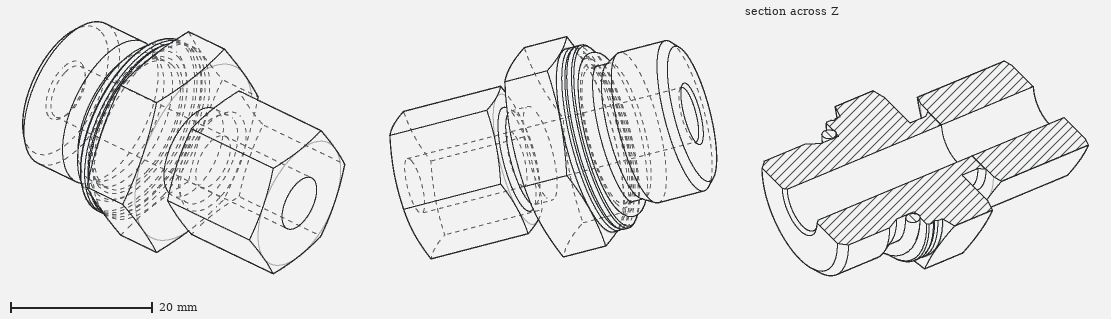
import cadquery as cq
import math


plug_chamfer = 1.15
thread_end = 8.05
ring_center = 12.0
collar_start = 12.95
body_hex_start = 15.45
body_hex_end = 23.0
flare_start = 25.6
nut_start = 26.5
nut_end = 42.0

bore_radius = 4.0
bore_chamfer = 0.5
plug_radius = 11.0
undercut_radius = 9.9
ring_outer_radius = 11.95
collar_radius = 13.4
neck_radius = 6.85
flare_radius = 7.6
body_flats = 27.0
nut_flats = 19.03

runout_angle = 30.0
hex_sides = 6
hex_chamfer_angle = 15.0
collar_edge_chamfer = 0.25
groove_center = 14.3
groove_half_width = 0.38
groove_depth = 0.25

runout_end = thread_end + (plug_radius - undercut_radius) / math.tan(math.radians(runout_angle))
ring_wire_radius = (ring_outer_radius - undercut_radius) / 2
ring_mean_radius = undercut_radius + ring_wire_radius


def revolve_about_x(points):
    """Turn a closed (x, radius) outline about the X axis."""
    outline = cq.Workplane("XY").polyline(points).close()
    return outline.revolve(360, (0, 0, 0), (1, 0, 0))


def chamfered_hex(start, end, flats):
    """Hexagonal prism along X, corners on +-Y, both ends coned from the inscribed circle."""
    flat_radius = flats / 2
    corner_radius = flat_radius / math.cos(math.pi / hex_sides)
    corner_chamfer = (corner_radius - flat_radius) * math.tan(math.radians(hex_chamfer_angle))
    prism = cq.Workplane("YZ", origin=(start, 0, 0)).polygon(hex_sides, 2 * corner_radius).extrude(end - start)
    envelope = revolve_about_x([
        (start, 0),
        (start, flat_radius),
        (start + corner_chamfer, corner_radius),
        (end - corner_chamfer, corner_radius),
        (end, flat_radius),
        (end, 0),
    ])
    return prism.intersect(envelope)


def bore(start, end):
    """Cylinder that cuts the through bore between two stations."""
    return cq.Workplane("YZ", origin=(start, 0, 0)).circle(bore_radius).extrude(end - start)


def make_seal_ring():
    """O-ring lying on the undercut, against the collar."""
    section = cq.Workplane("XY").center(ring_center, ring_mean_radius).circle(ring_wire_radius)
    return section.revolve(360, (0, -ring_mean_radius, 0), (1, -ring_mean_radius, 0))


def make_plug():
    """Screw-in end with a lead-in chamfer and a tapered run-out into the undercut."""
    return revolve_about_x([
        (0, 0),
        (0, plug_radius - plug_chamfer),
        (plug_chamfer, plug_radius),
        (thread_end, plug_radius),
        (runout_end, undercut_radius),
        (collar_start, undercut_radius),
        (collar_start, 0),
    ])


def make_collar():
    """Round collar with a chamfered edge and a V groove in its rim."""
    return revolve_about_x([
        (collar_start, 0),
        (collar_start, collar_radius - collar_edge_chamfer),
        (collar_start + collar_edge_chamfer, collar_radius),
        (groove_center - groove_half_width, collar_radius),
        (groove_center, collar_radius - groove_depth),
        (groove_center + groove_half_width, collar_radius),
        (body_hex_start, collar_radius),
        (body_hex_start, 0),
    ])


def make_neck():
    """Narrow neck that flares out to meet the nut face."""
    return revolve_about_x([
        (body_hex_end, 0),
        (body_hex_end, neck_radius),
        (flare_start, neck_radius),
        (nut_start, flare_radius),
        (nut_start, 0),
    ])


def make_body(seal_ring):
    """Fitting body, bored through, with a shallow seat for the seal ring in the collar face."""
    body = make_plug().union(make_collar())
    body = body.union(chamfered_hex(body_hex_start, body_hex_end, body_flats))
    body = body.union(make_neck())
    bore_entry = revolve_about_x([
        (0, 0),
        (0, bore_radius + bore_chamfer),
        (bore_chamfer, bore_radius),
        (bore_chamfer, 0),
    ])
    return body.cut(bore(0, nut_start)).cut(bore_entry).cut(seal_ring)


def make_nut():
    """Union nut that butts against the flared neck and continues the bore."""
    return chamfered_hex(nut_start, nut_end, nut_flats).cut(bore(nut_start, nut_end))


seal_ring = make_seal_ring()
body = make_body(seal_ring)
nut = make_nut()

result = cq.Compound.makeCompound([body.solids().val(), seal_ring.val(), nut.solids().val()])